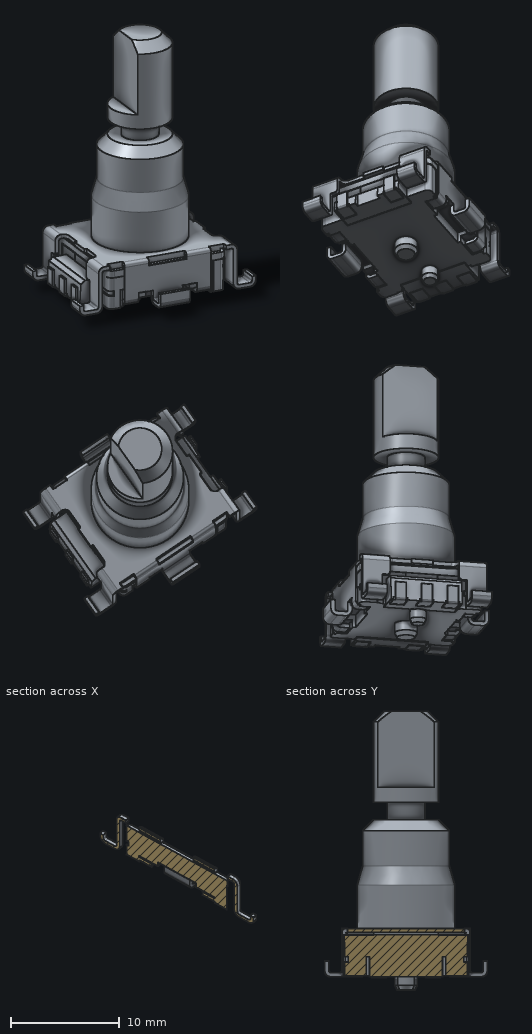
import cadquery as cq
import math


cover_top = 4.48
shaft_d = 6.0
shaft_top = cover_top + 20.0
shaft_bottom = cover_top + 11.6
shaft_chamfer = 1.0
flat_length = 7.0
flat_offset = 1.5
neck_d = 3.5
bushing_d = 9.0
bushing_top_d = 8.0
bushing_shoulder = cover_top + 4.0
bushing_cone_end = cover_top + 5.75
bushing_top = cover_top + 10.0
bushing_chamfer = 1.0

sheet = 0.4
inner_bend = 0.2
outer_bend = inner_bend + sheet
cover_half_x = 5.9
leg_wall_y = 7.1
corner_foot_y = 9.0
corner_foot_height = 1.0
side_foot_x = 7.5
side_foot_height = 1.48
side_foot_width = 3.02
lid_half_y = 5.95
side_wall_half_y = 4.42
side_fold_r = 0.39
side_wall_bottom = 0.25
clamp_length = 1.3
clamp_inner_r = 0.1
clamp_outer_r = clamp_inner_r + sheet
window_half_x = 3.28
window_corner_r = 0.5
lower_window_half_x = 4.03
lower_window_top = 2.55
window_convex_r = 0.25
window_concave_r = 0.12
lid_tongue_width = 2.04
lid_tongue_length = 0.25
lid_notch_x = 5.4
corner_notch_y = 4.54
side_slot_width = 3.84
side_slot_depth = 0.65
side_cutout_half_y = 2.98
side_cutout_top = 1.3

body_bottom = 0.1
body_top = cover_top - sheet
body_half_x = 5.82
body_half_y = 5.97
body_corner_r = 0.5
post_top = 3.88
skirt_top = 3.19
skirt_half_x = 5.78
skirt_half_y = 5.89
front_panel_half_x = 4.2
rib_width = 3.0
rib_y = 5.93
body_ledge_half_x = 2.97
body_ledge = 0.36
leg_recess_half_y = 2.23
leg_recess_depth = 1.6
clamp_recess_depth = 1.3
clamp_recess_top = 0.8
groove_depth = 0.3
rear_groove_y = (4.55, 4.72)
front_groove_y = (-4.8, -4.42)
front_groove_top = 1.86
corner_pocket_y = 5.45
corner_pocket_bottom = 1.38
corner_pocket_depth = 0.15
face_slot_width = 0.27
face_slot_depth = 0.3

block_half_x = 3.37
block_root_y = 5.0
front_block_top = 2.39
front_block_y = 7.68
front_block_foot_y = 7.8
front_block_chamfer_run = 0.42
front_block_chamfer_drop = 0.34
rear_block_top = 1.38
rear_block_y = 7.4
rear_block_foot_y = 7.5
rear_block_chamfer = 0.36
rear_gap_half_x = 1.16
terminal_thickness = 0.2
terminal_bend_r = 0.18
terminal_top = 1.63
terminal_pitch = 2.48
terminal_width = 1.02
pad_width = 1.35
pad_length = 1.45
pad_drop = 0.07

overall_height = 25.68
pin_bottom = shaft_top - overall_height
pin_chamfer_height = 0.42
centre_pin_d = 2.1
centre_pin_tip_d = 1.65
offset_pin_d = 1.5
offset_pin_tip_d = 1.15
offset_pin_y = -4.5


def block(x0, x1, y0, y1, z0, z1):
    """Axis-aligned box between two corners."""
    return cq.Workplane("XY").box(x1 - x0, y1 - y0, z1 - z0, centered=False).translate((x0, y0, z0))


def both_x(solid):
    return solid.union(solid.mirror("YZ"))


def both_y(solid):
    return solid.union(solid.mirror("XZ"))


def revolve_profile(points):
    """Solid of revolution about Z from (radius, height) points."""
    return cq.Workplane("XZ").polyline(points).close().revolve(360, (0, 0, 0), (0, 1, 0))


def shaft_and_bushing():
    shaft_r = shaft_d / 2
    top_r = bushing_top_d / 2
    shaft = revolve_profile([
        (0, shaft_bottom),
        (shaft_r, shaft_bottom),
        (shaft_r, shaft_top - shaft_chamfer),
        (shaft_r - shaft_chamfer, shaft_top),
        (0, shaft_top),
    ])
    flat_cut = block(-shaft_d, shaft_d, -shaft_d, -flat_offset, shaft_top - flat_length, shaft_top)
    bushing = revolve_profile([
        (0, body_top),
        (bushing_d / 2, body_top),
        (bushing_d / 2, bushing_shoulder),
        (top_r, bushing_cone_end),
        (top_r, bushing_top - bushing_chamfer),
        (top_r - bushing_chamfer, bushing_top),
        (neck_d / 2, bushing_top),
        (neck_d / 2, shaft_bottom),
        (0, shaft_bottom),
    ])
    return shaft.cut(flat_cut).union(bushing)


def foot_profile(plane, wall, tip, tip_height, wall_top):
    """J-shaped foot: down the wall, outward along Z = 0 and up to an upturned tip.

    wall is the outer face of the wall and tip the outer face of the upturned end.
    """
    first = wall + inner_bend
    second = tip - outer_bend
    level = outer_bend
    inner_diag = inner_bend * math.sqrt(0.5)
    outer_diag = outer_bend * math.sqrt(0.5)
    return (
        cq.Workplane(plane)
        .moveTo(wall, wall_top)
        .lineTo(wall, level)
        .threePointArc((first - inner_diag, level - inner_diag), (first, sheet))
        .lineTo(second, sheet)
        .threePointArc((second + inner_diag, level - inner_diag), (second + inner_bend, level))
        .lineTo(tip - sheet, tip_height)
        .lineTo(tip, tip_height)
        .lineTo(tip, level)
        .threePointArc((second + outer_diag, level - outer_diag), (second, 0))
        .lineTo(first, 0)
        .threePointArc((first - outer_diag, level - outer_diag), (wall - sheet, level))
        .lineTo(wall - sheet, wall_top)
        .close()
    )


def wall_window():
    """Opening between the legs on the +Y side, wider at the bottom, with rounded steps."""
    upper = block(-window_half_x, window_half_x, lid_half_y, corner_foot_y, -sheet, cover_top + sheet)
    lower = block(
        -lower_window_half_x, lower_window_half_x, lid_half_y, corner_foot_y, -sheet, lower_window_top
    )
    window = upper.union(lower)
    step_corners = ((window_half_x, window_convex_r), (lower_window_half_x, window_concave_r))
    mid_y = (lid_half_y + corner_foot_y) / 2
    for half_x, radius in step_corners:
        for x in (-half_x, half_x):
            corner = cq.selectors.NearestToPointSelector((x, mid_y, lower_window_top))
            window = window.edges("|Y").edges(corner).fillet(radius)
    return window


def corner_legs():
    """Folded walls with corner feet at both Y ends, opened by a stepped window."""
    bend_y = leg_wall_y - outer_bend
    bend_z = cover_top - outer_bend
    inner_diag = inner_bend * math.sqrt(0.5)
    outer_diag = outer_bend * math.sqrt(0.5)
    foot = foot_profile("YZ", leg_wall_y, corner_foot_y, corner_foot_height, bend_z)
    top_fold = (
        cq.Workplane("YZ")
        .moveTo(lid_half_y, cover_top)
        .lineTo(bend_y, cover_top)
        .threePointArc((bend_y + outer_diag, bend_z + outer_diag), (leg_wall_y, bend_z))
        .lineTo(leg_wall_y - sheet, bend_z)
        .threePointArc((bend_y + inner_diag, bend_z + inner_diag), (bend_y, body_top))
        .lineTo(lid_half_y, body_top)
        .close()
    )
    leg = foot.extrude(cover_half_x, both=True).union(top_fold.extrude(cover_half_x, both=True))
    return both_y(leg.cut(wall_window()))


def lid():
    """Flat top of the cover with corner notches and a tongue at each window."""
    corner_y = lid_half_y + window_corner_r
    plate = block(-cover_half_x, cover_half_x, -corner_y, corner_y, body_top, cover_top)
    opening = (
        block(-window_half_x, window_half_x, lid_half_y, leg_wall_y, body_top, cover_top)
        .edges("|Z and <Y")
        .fillet(window_corner_r)
    )
    plate = plate.cut(both_y(opening))
    tongue_y = lid_half_y + lid_tongue_length
    tongue = block(
        -lid_tongue_width / 2, lid_tongue_width / 2, -tongue_y, tongue_y, body_top, cover_top
    )
    notch = block(lid_notch_x, cover_half_x, corner_notch_y, lid_half_y, body_top, cover_top)
    return plate.union(tongue).cut(both_x(both_y(notch)))


def side_wall():
    """Wall on the +X side, with clamp flaps folded under the body and a central outward foot."""
    inside = cover_half_x - sheet
    flap_end = cover_half_x - clamp_length
    flap_top = side_wall_bottom + sheet
    wall = block(inside, cover_half_x, -side_wall_half_y, side_wall_half_y, side_wall_bottom, body_top)
    wall = wall.union(
        block(flap_end, cover_half_x, -side_wall_half_y, side_wall_half_y, side_wall_bottom, flap_top)
    )
    wall = wall.edges("|Y and >X and <Z").fillet(clamp_outer_r)
    inner_corner = cq.selectors.NearestToPointSelector((inside, 0, flap_top))
    wall = wall.edges("|Y").edges(inner_corner).fillet(clamp_inner_r)
    cutout = block(
        flap_end, cover_half_x, -side_cutout_half_y, side_cutout_half_y, side_wall_bottom, side_cutout_top
    )
    foot = foot_profile("XZ", cover_half_x, side_foot_x, side_foot_height, side_cutout_top)
    return wall.cut(cutout).union(foot.extrude(side_foot_width / 2, both=True))


def cover():
    wall = side_wall()
    half_wall = side_wall_half_y
    fold_relief = block(lid_notch_x, cover_half_x, -corner_notch_y, corner_notch_y, body_top, cover_top)
    slot_half = side_slot_width / 2
    slot = block(
        lid_notch_x, cover_half_x, -slot_half, slot_half, cover_top - side_slot_depth, cover_top
    )
    fold = block(lid_notch_x - sheet, cover_half_x, -half_wall, half_wall, body_top, cover_top)
    fold = fold.edges(">X and >Z").fillet(side_fold_r)
    top = lid().cut(both_x(fold_relief)).union(both_x(fold))
    return top.union(both_x(wall)).cut(both_x(slot)).union(corner_legs())


def body_shell():
    """Outside of the housing: a wide upper band over a skirt set in except at the front corners."""
    upper = block(-body_half_x, body_half_x, -body_half_y, body_half_y, skirt_top, post_top)
    skirt = block(-skirt_half_x, skirt_half_x, -body_half_y, skirt_half_y, body_bottom, skirt_top)
    solid = upper.edges("|Z").fillet(body_corner_r).union(skirt.edges("|Z").fillet(body_corner_r))
    core_y = body_half_y - body_ledge
    core = block(-lid_notch_x, lid_notch_x, -core_y, core_y, skirt_top, body_top)
    ledge = block(-body_ledge_half_x, body_ledge_half_x, -body_half_y, body_half_y, skirt_top, body_top)
    ledge = ledge.edges("|X and >Z").chamfer(body_ledge)
    rib = block(-rib_width / 2, rib_width / 2, -rib_y, rib_y, body_bottom, skirt_top)
    front_panel = block(
        -front_panel_half_x, front_panel_half_x, -body_half_y, -skirt_half_y, body_bottom, skirt_top
    )
    return solid.cut(front_panel).union(core).union(ledge).union(rib)


def body_cuts():
    """Recesses on the +X half of the housing."""
    wall_y = side_wall_half_y
    groove_x = body_half_x - groove_depth
    leg_recess = block(
        body_half_x - leg_recess_depth, body_half_x, -leg_recess_half_y, leg_recess_half_y,
        body_bottom, side_cutout_top,
    )
    clamp_recess = block(
        body_half_x - clamp_recess_depth, body_half_x, -wall_y, wall_y, body_bottom, clamp_recess_top
    )
    rear_groove = block(groove_x, body_half_x, *rear_groove_y, body_bottom, skirt_top)
    front_groove = block(groove_x, body_half_x, *front_groove_y, body_bottom, front_groove_top)
    pocket_x = skirt_half_x - corner_pocket_depth
    pocket_y = body_half_y - corner_pocket_depth
    pocket_floor = block(0, pocket_x, -pocket_y, 0, corner_pocket_bottom, front_groove_top)
    corner_pocket = block(
        lower_window_half_x, body_half_x, -body_half_y, -corner_pocket_y,
        corner_pocket_bottom, front_groove_top,
    ).cut(pocket_floor.edges("|Z and >X and <Y").fillet(body_corner_r))
    face_slot = block(
        block_half_x, block_half_x + face_slot_width, -body_half_y, face_slot_depth - body_half_y,
        body_bottom, front_groove_top,
    )
    cuts = leg_recess.union(clamp_recess).union(rear_groove).union(front_groove)
    return cuts.union(corner_pocket).union(face_slot)


def body():
    """Plastic housing inside the cover, with corner posts that are exposed at the notches."""
    return body_shell().cut(both_x(body_cuts()))


def terminal_block(top, face_y, foot_y, chamfer_run, chamfer_drop):
    """Block on the +Y side with a chamfered top edge and a drafted outer face."""
    return (
        cq.Workplane("YZ")
        .polyline([
            (block_root_y, 0),
            (foot_y, 0),
            (face_y, top - chamfer_drop),
            (face_y - chamfer_run, top),
            (block_root_y, top),
        ])
        .close()
        .extrude(block_half_x, both=True)
    )


def terminal(x, foot_y):
    """Upright strip on the +Y side with a wider solder pad under the block."""
    half = terminal_width / 2
    upright = block(x - half, x + half, foot_y, foot_y + terminal_thickness, -pad_drop, terminal_top)
    upright = upright.edges("|X and >Y and <Z").fillet(terminal_bend_r)
    pad_half = pad_width / 2
    pad = block(
        x - pad_half, x + pad_half, foot_y - pad_length, foot_y, -pad_drop, terminal_thickness
    )
    return upright.union(pad)


def front_terminals():
    solid = terminal_block(
        front_block_top, front_block_y, front_block_foot_y,
        front_block_chamfer_run, front_block_chamfer_drop,
    )
    for x in (-terminal_pitch, 0, terminal_pitch):
        solid = solid.union(terminal(x, front_block_foot_y))
    return solid.mirror("XZ")


def rear_terminals():
    solid = terminal_block(
        rear_block_top, rear_block_y, rear_block_foot_y, rear_block_chamfer, rear_block_chamfer
    )
    gap_y = rear_block_y - rear_block_chamfer
    gap = block(-rear_gap_half_x, rear_gap_half_x, gap_y, rear_block_foot_y, 0, rear_block_top)
    solid = solid.cut(gap)
    for x in (-terminal_pitch, terminal_pitch):
        solid = solid.union(terminal(x, rear_block_foot_y))
    return solid


def locating_pin(y, diameter, tip_diameter):
    pin = revolve_profile([
        (0, pin_bottom),
        (tip_diameter / 2, pin_bottom),
        (diameter / 2, pin_bottom + pin_chamfer_height),
        (diameter / 2, side_wall_bottom),
        (0, side_wall_bottom),
    ])
    return pin.translate((0, y, 0))


result = (
    body()
    .union(cover())
    .union(front_terminals())
    .union(rear_terminals())
    .union(locating_pin(0, centre_pin_d, centre_pin_tip_d))
    .union(locating_pin(offset_pin_y, offset_pin_d, offset_pin_tip_d))
    .union(shaft_and_bushing())
)